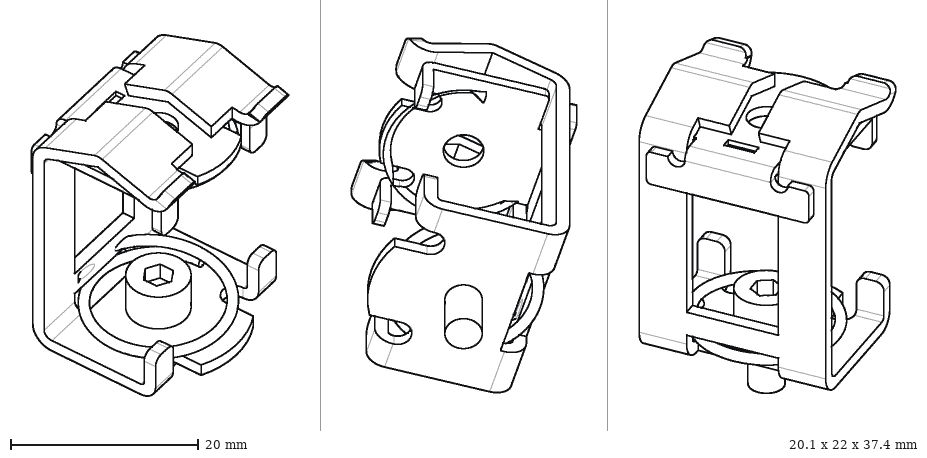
import cadquery as cq
import math

FRAME_WIDTH = 22.0
SHEET = 1.5
WALL_OUTER_X = -8.6
WALL_INNER_X = WALL_OUTER_X + SHEET
WALL_BEND_RADIUS = 1.0
ROOF_ANGLE = 20.0
PEAK_INNER_Z = 29.9
ROOF_FRONT_LENGTH = 6.5
LIP_BEND_RADIUS = 1.0
LIP_BEND_ANGLE = 90.0
LIP_STRAIGHT = 0.45
LIP_WIDTH = 5.0
BOTTOM_TAB_OUTER_X = 7.6
BOTTOM_TAB_TOP_Z = 6.1
BOTTOM_TAB_BEND_RADIUS = 0.5
BOTTOM_TAB_WIDTH = 3.25
TAB_CORNER_RADIUS = 1.0

WINDOW_HALF_WIDTH = 5.4
WINDOW_END_X = -5.7
CROSSBAR_BOTTOM_Z = 3.6
CROSSBAR_TOP_Z = 6.5
ROOF_SLOT_WIDTH = 3.45
ROOF_FRONT_OPENING_X = 5.74
ROOF_FRONT_HALF_WIDTH = 5.5
LIP_TAPER_END_X = 9.2

TONGUE_RADIUS = 10.26
TONGUE_HALF_WIDTH = 4.77
TONGUE_RELIEF_X = 4.0

PLATE_THICKNESS = 1.2
PLATE_BOTTOM_Z = 26.45
PLATE_TOP_Z = PLATE_BOTTOM_Z + PLATE_THICKNESS
PLATE_WIDTH = 19.15
PLATE_BODY_X = -6.85
PLATE_CORNER_RADIUS = 0.55
PLATE_FLANGE_BOTTOM_Z = 22.4
PLATE_TONGUE_RADIUS = 9.0
PLATE_TONGUE_HALF_WIDTH = 4.0
PLATE_TAB_WIDTH = 3.05
PLATE_TAB_OUTER_X = 7.35
PLATE_RELIEF_X = 4.0
BEND_ROUNDING = 0.99
HOOK_OUTER_X = WALL_OUTER_X - PLATE_THICKNESS
NECK_HALF_WIDTH = 5.05
NECK_RELIEF_RADIUS = 1.0
ACCESS_HOLE_DIAMETER = 4.3
PLATE_SLOT_X = (-6.9, -5.75)
PLATE_SLOT_LENGTH = 3.6
PLATE_SLOT_DEPTH = 0.6

WIRE_RADIUS = 0.62
COIL_RADIUS = 7.96
SPRING_BOTTOM_Z = SHEET + 0.6
SPRING_TOP_Z = PLATE_BOTTOM_Z - 0.6
COIL_START_ANGLE = 90.0
FLAT_ANGLE = 210.0
RAMP_ANGLE = 210.0
ACTIVE_ANGLE = 1380.0
COIL_STEP_ANGLE = 30.0

HEAD_RADIUS = 3.5
HEAD_TOP_Z = 6.1
SHANK_RADIUS = 2.0
SHANK_BOTTOM_Z = -6.0
HEX_ACROSS_FLATS = 3.0
HEX_DEPTH = 2.0


def block(x_range, y_range, z_range):
    """Axis-aligned box between the given limits."""
    return (
        cq.Workplane("XY")
        .box(
            x_range[1] - x_range[0],
            y_range[1] - y_range[0],
            z_range[1] - z_range[0],
            centered=False,
        )
        .translate((x_range[0], y_range[0], z_range[0]))
    )


def both_sides(shape):
    """The shape together with its mirror image across Y = 0."""
    return shape.union(shape.mirror("XZ"))


def bent_strip(start, heading, steps, thickness, width):
    """Sheet strip bent in XZ and centred on Y = 0.

    The steps follow one face; the sheet lies to the left of it. A step is
    ("line", length) or ("bend", turn angle, inside radius), left turns positive.
    """
    def left_of(point, angle):
        radians = math.radians(angle + 90)
        return (
            point[0] + thickness * math.cos(radians),
            point[1] + thickness * math.sin(radians),
        )

    def arc_point(center, radius, angle):
        radians = math.radians(angle)
        return (center[0] + radius * math.cos(radians), center[1] + radius * math.sin(radians))

    point = start
    sections = []
    for step in steps:
        profile = cq.Workplane("XZ").moveTo(*point)
        if step[0] == "line":
            radians = math.radians(heading)
            end = (point[0] + step[1] * math.cos(radians), point[1] + step[1] * math.sin(radians))
            profile = profile.lineTo(*end).lineTo(*left_of(end, heading)).lineTo(*left_of(point, heading))
        else:
            turn, inner_radius = step[1], step[2]
            side = 1 if turn > 0 else -1
            face_radius = inner_radius + thickness if turn > 0 else inner_radius
            far_radius = face_radius - side * thickness
            center = arc_point(point, face_radius, heading + side * 90)
            first, middle, last = [heading + part * turn - side * 90 for part in (0, 0.5, 1)]
            end = arc_point(center, face_radius, last)
            if face_radius > 0:
                profile = profile.threePointArc(arc_point(center, face_radius, middle), end)
            profile = profile.lineTo(*arc_point(center, far_radius, last))
            profile = profile.threePointArc(
                arc_point(center, far_radius, middle), arc_point(center, far_radius, first)
            )
            heading += turn
        sections.append(profile.close().extrude(width / 2, both=True))
        point = end
    strip = sections[0]
    for section in sections[1:]:
        strip = strip.union(section)
    return strip


def make_frame_strip():
    """Front tab, bottom, wall, peaked roof and lip as one full-width strip."""
    tab_inner_x = BOTTOM_TAB_OUTER_X - SHEET
    roof_bend = 90 - ROOF_ANGLE
    slope = math.radians(ROOF_ANGLE)
    eave_z = PEAK_INNER_Z + WALL_INNER_X * math.tan(slope)
    eave_tangent = WALL_BEND_RADIUS * math.tan(math.radians(roof_bend / 2))
    steps = [
        ("line", BOTTOM_TAB_TOP_Z - SHEET - BOTTOM_TAB_BEND_RADIUS),
        ("bend", -90, BOTTOM_TAB_BEND_RADIUS),
        ("line", tab_inner_x - BOTTOM_TAB_BEND_RADIUS - WALL_INNER_X - WALL_BEND_RADIUS),
        ("bend", -90, WALL_BEND_RADIUS),
        ("line", eave_z - eave_tangent - SHEET - WALL_BEND_RADIUS),
        ("bend", -roof_bend, WALL_BEND_RADIUS),
        ("line", -WALL_INNER_X / math.cos(slope) - eave_tangent),
        ("bend", -2 * ROOF_ANGLE, 0),
        ("line", ROOF_FRONT_LENGTH),
        ("bend", LIP_BEND_ANGLE, LIP_BEND_RADIUS),
        ("line", LIP_STRAIGHT),
    ]
    return bent_strip((tab_inner_x, BOTTOM_TAB_TOP_Z), -90, steps, SHEET, FRAME_WIDTH)


def cut_frame_openings(frame):
    """Wall windows, roof slot and the front opening between the lips."""
    window_y = (-WINDOW_HALF_WIDTH, WINDOW_HALF_WIDTH)
    window_x = (HOOK_OUTER_X, WINDOW_END_X)
    frame = frame.cut(block(window_x, window_y, (0, CROSSBAR_BOTTOM_Z)))
    rear_window = block(window_x, window_y, (CROSSBAR_TOP_Z, PLATE_TOP_Z))
    frame = frame.cut(rear_window).cut(make_rear_roof_opening())
    above_plate = (PLATE_BOTTOM_Z, PEAK_INNER_Z + 2 * SHEET)
    slot_y = (-ROOF_SLOT_WIDTH / 2, ROOF_SLOT_WIDTH / 2)
    frame = frame.cut(block((WINDOW_END_X, ROOF_FRONT_OPENING_X), slot_y, above_plate))
    lip_inner_y = FRAME_WIDTH / 2 - LIP_WIDTH
    half_opening = (
        cq.Workplane("XY", origin=(0, 0, PLATE_BOTTOM_Z))
        .moveTo(ROOF_FRONT_OPENING_X, 0)
        .lineTo(ROOF_FRONT_OPENING_X, ROOF_FRONT_HALF_WIDTH)
        .lineTo(LIP_TAPER_END_X, lip_inner_y)
        .lineTo(TONGUE_RADIUS, lip_inner_y)
        .lineTo(TONGUE_RADIUS, 0)
        .close()
        .extrude(above_plate[1] - above_plate[0])
    )
    return frame.cut(both_sides(half_opening))


def make_rear_roof_opening():
    """Upper part of the wall window; its end face is square to the rear roof half."""
    slope = math.radians(ROOF_ANGLE)
    edge_z = PEAK_INNER_Z + WINDOW_END_X * math.tan(slope) + SHEET / math.cos(slope)
    edge_base_x = WINDOW_END_X + (edge_z - PLATE_BOTTOM_Z) * math.tan(slope)
    return (
        cq.Workplane("XZ")
        .moveTo(HOOK_OUTER_X, PLATE_BOTTOM_Z)
        .lineTo(edge_base_x, PLATE_BOTTOM_Z)
        .lineTo(WINDOW_END_X, edge_z)
        .lineTo(HOOK_OUTER_X, edge_z)
        .close()
        .extrude(WINDOW_HALF_WIDTH, both=True)
    )


def lip_tip_plane():
    """Plane on the outer face of the lip tip: local X along +Y, local Y back from the tip."""
    slope = math.radians(ROOF_ANGLE)
    tip_angle = math.radians(LIP_BEND_ANGLE - ROOF_ANGLE)
    outer_radius = LIP_BEND_RADIUS + SHEET
    bend_x = ROOF_FRONT_LENGTH * math.cos(slope) + outer_radius * math.sin(slope)
    bend_z = PEAK_INNER_Z - ROOF_FRONT_LENGTH * math.sin(slope) + outer_radius * math.cos(slope)
    tip_x = bend_x + outer_radius * math.sin(tip_angle) + LIP_STRAIGHT * math.cos(tip_angle)
    tip_z = bend_z - outer_radius * math.cos(tip_angle) + LIP_STRAIGHT * math.sin(tip_angle)
    into_sheet = (-math.sin(tip_angle), 0, math.cos(tip_angle))
    return cq.Plane(origin=(tip_x, 0, tip_z), xDir=(0, 1, 0), normal=into_sheet)


def round_lip_corners(frame):
    """Round the free corners of both lips, across the sheet thickness."""
    radius = TAB_CORNER_RADIUS
    quarter = radius * math.sqrt(0.5)
    outer_y = FRAME_WIDTH / 2
    for side_y, inward in ((outer_y, -1), (outer_y - LIP_WIDTH, 1)):
        center_y = side_y + inward * radius
        corner = (
            cq.Workplane(lip_tip_plane())
            .moveTo(side_y, radius)
            .threePointArc((center_y - inward * quarter, radius - quarter), (center_y, 0))
            .lineTo(center_y, -radius)
            .lineTo(side_y - inward * radius, -radius)
            .lineTo(side_y - inward * radius, radius)
            .close()
            .extrude(SHEET + LIP_BEND_RADIUS / 2)
        )
        frame = frame.cut(both_sides(corner))
    return frame


def shape_bottom_front(frame):
    """Free the two bottom tabs, round their corners and add the tongue between them."""
    tab_inner_y = FRAME_WIDTH / 2 - BOTTOM_TAB_WIDTH
    bend_start_x = BOTTOM_TAB_OUTER_X - SHEET - BOTTOM_TAB_BEND_RADIUS
    tab_gap = (-tab_inner_y, tab_inner_y)
    frame = frame.cut(block((bend_start_x, TONGUE_RADIUS), tab_gap, (0, BOTTOM_TAB_TOP_Z)))
    top_corners = frame.edges(cq.selectors.BoxSelector(
        (bend_start_x, -FRAME_WIDTH, BOTTOM_TAB_TOP_Z - SHEET / 2),
        (TONGUE_RADIUS, FRAME_WIDTH, BOTTOM_TAB_TOP_Z + SHEET / 2),
    )).edges("|X")
    frame = frame.newObject(top_corners.vals()).fillet(TAB_CORNER_RADIUS)
    tongue = round_tongue(TONGUE_RADIUS, TONGUE_HALF_WIDTH, 0, SHEET)
    relief = relief_gap(TONGUE_RELIEF_X, TONGUE_HALF_WIDTH, tab_inner_y, 0, SHEET)
    return frame.union(tongue).cut(both_sides(relief))


def round_tongue(radius, half_width, bottom_z, thickness):
    """Straight-sided tongue from X = 0 to an arc about the screw axis."""
    corner_x = math.sqrt(radius**2 - half_width**2)
    return (
        cq.Workplane("XY", origin=(0, 0, bottom_z))
        .moveTo(0, -half_width)
        .lineTo(corner_x, -half_width)
        .threePointArc((radius, 0), (corner_x, half_width))
        .lineTo(0, half_width)
        .close()
        .extrude(thickness)
    )


def relief_gap(inner_x, y_low, y_high, bottom_z, thickness):
    """Round-ended gap between a tongue and a tab, open toward +X."""
    radius = (y_high - y_low) / 2
    return (
        cq.Workplane("XY", origin=(0, 0, bottom_z))
        .moveTo(TONGUE_RADIUS, y_low)
        .lineTo(inner_x + radius, y_low)
        .threePointArc((inner_x, y_low + radius), (inner_x + radius, y_high))
        .lineTo(TONGUE_RADIUS, y_high)
        .close()
        .extrude(thickness)
    )


def make_plate():
    """Top plate with its rear hook, neck, front tongue and two front tabs."""
    half_width = PLATE_WIDTH / 2
    body_y = (-half_width, half_width)
    flange_z = (PLATE_FLANGE_BOTTOM_Z, PLATE_TOP_Z)
    full_z = (PLATE_BOTTOM_Z, PLATE_TOP_Z)
    tab_inner_x = PLATE_TAB_OUTER_X - PLATE_THICKNESS
    tab_inner_y = half_width - PLATE_TAB_WIDTH

    body = block((PLATE_BODY_X, PLATE_TAB_OUTER_X), body_y, full_z)
    body = body.edges("|Z and <X").fillet(PLATE_CORNER_RADIUS)
    tab = block((tab_inner_x, PLATE_TAB_OUTER_X), (tab_inner_y, half_width), flange_z)
    tab = tab.edges("|X and <Z").fillet(TAB_CORNER_RADIUS)
    body = body.union(both_sides(tab))
    body = body.edges("|Y and >X and >Z").fillet(PLATE_THICKNESS * BEND_ROUNDING)
    center_y = (-tab_inner_y, tab_inner_y)
    body = body.cut(block((tab_inner_x, TONGUE_RADIUS), center_y, flange_z))
    tongue = round_tongue(PLATE_TONGUE_RADIUS, PLATE_TONGUE_HALF_WIDTH, PLATE_BOTTOM_Z, PLATE_THICKNESS)
    relief = relief_gap(PLATE_RELIEF_X, PLATE_TONGUE_HALF_WIDTH, tab_inner_y, PLATE_BOTTOM_Z, PLATE_THICKNESS)
    body = body.union(tongue).cut(both_sides(relief))

    neck = block((HOOK_OUTER_X, 0), (-NECK_HALF_WIDTH, NECK_HALF_WIDTH), full_z)
    neck = neck.edges("|Y and <X and >Z").fillet(PLATE_THICKNESS * BEND_ROUNDING)
    hook = block((HOOK_OUTER_X, WALL_OUTER_X), body_y, (PLATE_FLANGE_BOTTOM_Z, PLATE_BOTTOM_Z))
    hook = hook.edges("|X").fillet(PLATE_CORNER_RADIUS)
    notch = (
        cq.Workplane("YZ", origin=(HOOK_OUTER_X, NECK_HALF_WIDTH + NECK_RELIEF_RADIUS, PLATE_BOTTOM_Z))
        .circle(NECK_RELIEF_RADIUS)
        .extrude(PLATE_THICKNESS)
    )
    plate = body.union(neck).union(hook).cut(both_sides(notch))

    slot_y = (-PLATE_SLOT_LENGTH / 2, PLATE_SLOT_LENGTH / 2)
    access_hole = (
        cq.Workplane("XY", origin=(0, 0, PLATE_BOTTOM_Z))
        .circle(ACCESS_HOLE_DIAMETER / 2)
        .extrude(PLATE_THICKNESS)
    )
    slot_z = (PLATE_TOP_Z - PLATE_SLOT_DEPTH, PLATE_TOP_Z)
    return plate.cut(block(PLATE_SLOT_X, slot_y, slot_z)).cut(access_hole)


def coil_rise(turned):
    """Share of the full spring rise reached after turning this far past the flat end."""
    rise_rate = 1 / (ACTIVE_ANGLE - RAMP_ANGLE)
    turned = min(max(turned, 0), ACTIVE_ANGLE)
    remaining = ACTIVE_ANGLE - turned
    if turned < RAMP_ANGLE:
        return rise_rate * turned**2 / (2 * RAMP_ANGLE)
    if remaining < RAMP_ANGLE:
        return 1 - rise_rate * remaining**2 / (2 * RAMP_ANGLE)
    return rise_rate * (turned - RAMP_ANGLE / 2)


def make_spring():
    """Right-handed round-wire compression spring with flat end coils."""
    total_angle = ACTIVE_ANGLE + 2 * FLAT_ANGLE
    points = []
    for step in range(round(total_angle / COIL_STEP_ANGLE) + 1):
        turned = step * COIL_STEP_ANGLE
        angle = math.radians(COIL_START_ANGLE + turned)
        z = SPRING_BOTTOM_Z + (SPRING_TOP_Z - SPRING_BOTTOM_Z) * coil_rise(turned - FLAT_ANGLE)
        points.append(cq.Vector(COIL_RADIUS * math.cos(angle), COIL_RADIUS * math.sin(angle), z))
    path = cq.Workplane("XY").spline(points)
    wire_plane = cq.Plane(origin=points[0], xDir=(0, 1, 0), normal=(-1, 0, 0))
    return cq.Workplane(wire_plane).circle(WIRE_RADIUS).sweep(path, isFrenet=True)


def make_screw():
    """Shank through the bottom and a round head with a hexagon socket."""
    hex_across_corners = HEX_ACROSS_FLATS / math.cos(math.radians(30))
    shank = (
        cq.Workplane("XY", origin=(0, 0, SHANK_BOTTOM_Z))
        .circle(SHANK_RADIUS)
        .extrude(SHEET - SHANK_BOTTOM_Z)
    )
    head = cq.Workplane("XY", origin=(0, 0, SHEET)).circle(HEAD_RADIUS).extrude(HEAD_TOP_Z - SHEET)
    socket = (
        cq.Workplane("XY", origin=(0, 0, HEAD_TOP_Z))
        .polygon(6, hex_across_corners)
        .extrude(-HEX_DEPTH)
    )
    return shank.union(head).cut(socket)


frame = make_frame_strip()
frame = cut_frame_openings(frame)
frame = round_lip_corners(frame)
frame = shape_bottom_front(frame)
result = frame.union(make_plate()).union(make_screw()).union(make_spring())